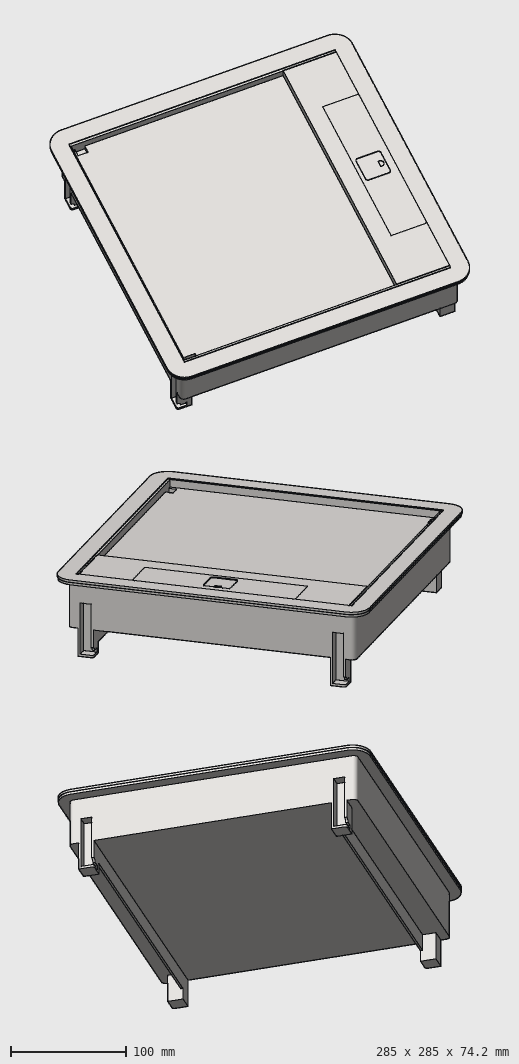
import cadquery as cq

flange_size = 285.0
flange_corner_radius = 16.5
flange_layer_thickness = 2.35
lower_layer_inset = 0.5
total_height = 74.2

housing_size = 263.0
housing_corner_radius = 4.2
housing_bottom_z = -48.2

leg_size = 14.1
leg_center_x = 115.5
leg_wall = 2.1
leg_floor_thickness = 2.3
slot_depth = 9.4
slot_top_z = -24.6
catch_height = 3.6
catch_lead_in_radius = 3.4
lip_corner_radius = 2.2

rail_bottom_z = -63.8
rail_thickness = 2.0

opening_size = 252.0
lid_thickness = 12.0
tray_depth = 7.8
tray_side_wall = 2.3
tray_front_wall = 1.2
band_front_y = 75.8
rim_drop = 0.8

flap_width = 149.2
flap_front_y = 92.0
flap_thickness = 4.0
flap_corner_radius = 2.0

pad_width = 24.8
pad_front_y = 95.7
pad_back_y = 119.1
pad_corner_radius = 2.2
pad_depth = 0.9
grip_radius = 2.9
grip_straight = 1.1
grip_front_y = 113.4
grip_depth = 0.6

tray_hole_width = 7.1
tray_hole_front_y = -121.3
tray_hole_back_y = -111.9

flange_bottom_z = -2 * flange_layer_thickness
leg_outer_y = housing_size / 2
leg_inner_y = leg_outer_y - leg_size
slot_floor_z = -total_height + leg_floor_thickness
opening_half = opening_size / 2
tray_half_width = opening_half - tray_side_wall
tray_front_y = -opening_half + tray_front_wall


def block(x_range, y_range, z_range):
    """Axis-aligned box spanning the given (low, high) ranges."""
    size = [high - low for low, high in (x_range, y_range, z_range)]
    corner = (x_range[0], y_range[0], z_range[0])
    return cq.Workplane("XY").box(*size, centered=False).translate(corner)


def rounded_plate(size, radius, top_z, bottom_z):
    """Square plate centred on the Z axis with rounded vertical corners."""
    plate = cq.Workplane("XY").workplane(offset=bottom_z).rect(size, size).extrude(top_z - bottom_z)
    return plate.edges("|Z").fillet(radius)


def leg_post():
    """Front leg below the housing, centred on X = 0, with its lip corner rounded."""
    half = leg_size / 2
    z_range = (-total_height, housing_bottom_z)
    post = block((-half, half), (-leg_outer_y, -leg_inner_y), z_range)
    lip = block((-half, half), (-leg_outer_y, -leg_inner_y), (-total_height, slot_floor_z))
    rounded_lip = lip.edges("|Z and >X and <Y").fillet(lip_corner_radius)
    return post.cut(lip).union(rounded_lip)


def leg_cavity():
    """Slot up the outer face of a front leg, with the catch opening through its +X wall."""
    half = leg_size / 2
    inner_half = half - leg_wall
    slot_back_y = -leg_outer_y + slot_depth
    catch_top_z = slot_floor_z + catch_height
    slot = block((-inner_half, inner_half), (-leg_outer_y, slot_back_y), (slot_floor_z, slot_top_z))
    catch = (
        cq.Workplane("YZ")
        .workplane(offset=inner_half)
        .moveTo(-leg_outer_y, slot_floor_z)
        .lineTo(slot_back_y, slot_floor_z)
        .lineTo(slot_back_y, catch_top_z)
        .lineTo(-leg_outer_y + catch_lead_in_radius, catch_top_z)
        .radiusArc((-leg_outer_y, catch_top_z + catch_lead_in_radius), -catch_lead_in_radius)
        .close()
        .extrude(leg_wall)
    )
    return slot.union(catch)


def at_each_leg(shape):
    """Copies of a front-leg shape at all four legs; the rear ones are turned half round."""
    copies = []
    for x in (-leg_center_x, leg_center_x):
        front = shape.translate((x, 0, 0))
        copies.append(front)
        copies.append(front.rotate((0, 0, 0), (0, 0, 1), 180))
    return copies


def rail(side):
    """Thin rail joining the front and rear leg on one side, along their inner faces."""
    inner_x = leg_center_x - leg_size / 2
    x_range = sorted((side * inner_x, side * (inner_x + rail_thickness)))
    return block(x_range, (-leg_inner_y, leg_inner_y), (rail_bottom_z, housing_bottom_z))


def make_frame():
    frame = rounded_plate(flange_size, flange_corner_radius, 0, -flange_layer_thickness)
    lower_layer = rounded_plate(
        flange_size - 2 * lower_layer_inset,
        flange_corner_radius - lower_layer_inset,
        -flange_layer_thickness,
        flange_bottom_z,
    )
    housing = rounded_plate(housing_size, housing_corner_radius, flange_bottom_z, housing_bottom_z)
    frame = frame.union(lower_layer).union(housing)
    for post in at_each_leg(leg_post()):
        frame = frame.union(post)
    for side in (-1, 1):
        frame = frame.union(rail(side))
    for cavity in at_each_leg(leg_cavity()):
        frame = frame.cut(cavity)
    opening_range = (-opening_half, opening_half)
    return frame.cut(block(opening_range, opening_range, (-lid_thickness, 0)))


def flap_blank():
    half = flap_width / 2
    blank = block((-half, half), (flap_front_y, opening_half), (-flap_thickness, 0))
    return blank.edges("|Z and >Y").fillet(flap_corner_radius)


def make_flap():
    pad_center_y = (pad_front_y + pad_back_y) / 2
    pad = (
        cq.Workplane("XY")
        .workplane(offset=-pad_depth)
        .center(0, pad_center_y)
        .rect(pad_width, pad_back_y - pad_front_y)
        .extrude(pad_depth)
        .edges("|Z")
        .fillet(pad_corner_radius)
    )
    arch_start_y = grip_front_y + grip_straight
    grip = (
        cq.Workplane("XY")
        .workplane(offset=-pad_depth)
        .moveTo(-grip_radius, grip_front_y)
        .lineTo(-grip_radius, arch_start_y)
        .threePointArc((0, arch_start_y + grip_radius), (grip_radius, arch_start_y))
        .lineTo(grip_radius, grip_front_y)
        .close()
        .extrude(-grip_depth)
    )
    return flap_blank().cut(pad).cut(grip)


def make_lid():
    outer = (-opening_half, opening_half)
    inner = (-tray_half_width, tray_half_width)
    lid = block(outer, outer, (-lid_thickness, -rim_drop))
    lid = lid.cut(block(inner, (tray_front_y, band_front_y), (-tray_depth, -rim_drop)))
    lid = lid.union(block(inner, (band_front_y, opening_half), (-tray_depth, 0)))
    for side in (-1, 1):
        x_range = sorted((side * tray_half_width, side * (tray_half_width - tray_hole_width)))
        lid = lid.cut(block(x_range, (tray_hole_front_y, tray_hole_back_y), (-lid_thickness, -tray_depth)))
    return lid.cut(flap_blank())


frame = make_frame()
lid = make_lid()
flap = make_flap()

result = cq.Compound.makeCompound([frame.val(), lid.val(), flap.val()])